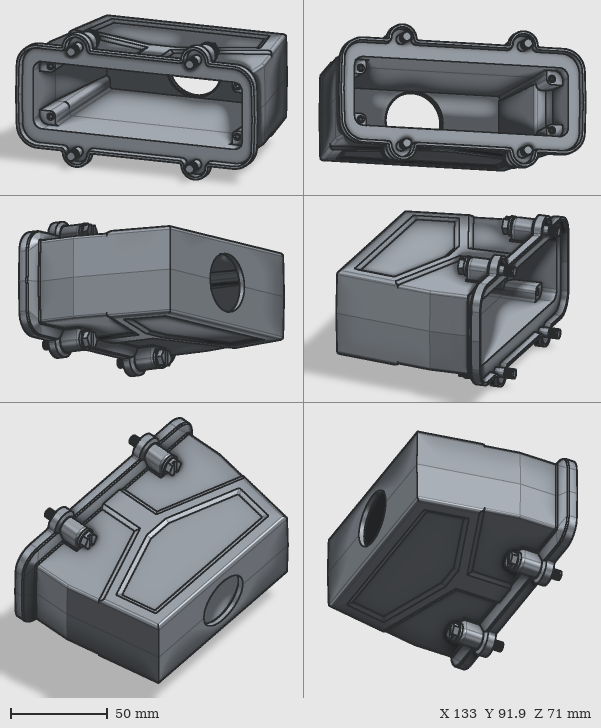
import cadquery as cq
import math


FLANGE_HALF_X = 66.5
FLANGE_HALF_Z = 27.5
FLANGE_CORNER_RADIUS = 11.7
FLANGE_THICKNESS = 4.6
FLANGE_CROWN = 0.4
COLLAR_EDGE_HEIGHT = 0.9
COLLAR_EDGE_WIDTH = 0.5
COLLAR_TOP = 9.2
EAR_RADIUS = 7.5
EAR_NECK_RADIUS = 1.0
EAR_CHAMFER_HEIGHT = 1.5
EAR_CHAMFER_WIDTH = 2.0
GASKET_DEPTH = 3.6
GASKET_RIM = 1.4
GASKET_DRAFT = 10.0

BODY_TOP = 85.0
BODY_HALF_X = 60.2
BODY_HALF_Z = 23.0
BODY_BASE = 4.0
BEND_HEIGHT = 30.0
SIDE_SLOPE = 10.0
PARTING_DRAFT = 1.0
BODY_FILLET = 2.0
CORE_FILLET = 1.4

PANEL_DEPTH = 1.3
PANEL_BEVEL = 2.5
PANEL_ANGLE = 20.0
STEM_HALF_WIDTH = 6.3
STEM_SHOULDER = 33.2
RECESS_TOP = 77.3
RECESS_TOP_HALF = 44.0
RECESS_POINT = 38.7
RECESS_POINT_HALF = 7.4
RECESS_CORNER_RADIUS = 2.0

MOUTH_HALF_X = 58.3
MOUTH_HALF_Z = 18.1
MOUTH_RADIUS = 5.0
CAVITY_BEND = 31.3
CAVITY_BEND_HALF_X = 57.2
CAVITY_BEND_HALF_Z = 17.5
CAVITY_FLOOR = 81.5
CAVITY_FLOOR_HALF_X = 48.6
CAVITY_FLOOR_HALF_Z = 15.7
CAVITY_FLOOR_RADIUS = 1.0
CABLE_HOLE_DIAMETER = 30.4
CABLE_HOLE_CHAMFER = 0.5

POST_START = 11.8
POST_X = 49.2
POST_Z = 10.4
POST_FLOOR_X = 46.5
POST_FLOOR_Z = 8.6
POST_FILLET = 3.0
POST_ROOT_FILLET = 1.5
POST_HOLE_X = 52.0
POST_HOLE_Z = 13.5
POST_HOLE_DIAMETER = 2.2
POST_HOLE_MOUTH = 3.6
POST_HOLE_DEPTH = 15.0

LEDGE_START = 29.5
LEDGE_X = 48.2
LEDGE_FILLET = 1.7
LEDGE_FLOOR_X = 46.0
LEDGE_SLOPE_X = 54.5
LEDGE_SLOPE_END_X = 57.4
LEDGE_SLOPE_START = 27.0

SCREW_X = 33.0
SCREW_Z = 28.0
BOSS_ROOT_Z = 19.1
BOSS_RADIUS = 5.0
BOSS_TOP = 18.0
BOSS_FILLET = 2.0
FOOT_WIDTH = 11.6
FOOT_Z = 22.4
WASHER_RADIUS = 5.2
WASHER_THICKNESS = 1.4
HEAD_WIDTH = 8.0
HEAD_HEIGHT = 3.4
SLOT_WIDTH = 1.7
SLOT_DEPTH = 1.4
SHANK_RADIUS = 2.5
SHANK_TIP = -6.9
THREAD_PITCH = 1.1
THREAD_DEPTH = 0.3
THREAD_GROOVES = 4

SCREW_PLACES = [(sx * SCREW_X, sz * SCREW_Z) for sx in (1, -1) for sz in (1, -1)]


def plane_at(y):
    """Work plane facing +Y whose local axes are X and -Z."""
    return cq.Workplane(cq.Plane(origin=(0, y, 0), xDir=(1, 0, 0), normal=(0, 1, 0)))


def crowned_outline(y, half_x, half_z, radius, crown=0.0):
    """Rounded rectangle whose X sides rise to a shallow ridge at Z = 0."""
    side = half_x - crown
    end_z = half_z - radius
    end_x = side - radius
    bulge = radius * math.sqrt(0.5)
    arc_x = end_x + bulge
    arc_z = end_z + bulge
    return (
        plane_at(y)
        .moveTo(half_x, 0)
        .lineTo(side, end_z)
        .threePointArc((arc_x, arc_z), (end_x, half_z))
        .lineTo(-end_x, half_z)
        .threePointArc((-arc_x, arc_z), (-side, end_z))
        .lineTo(-half_x, 0)
        .lineTo(-side, -end_z)
        .threePointArc((-arc_x, -arc_z), (-end_x, -half_z))
        .lineTo(end_x, -half_z)
        .threePointArc((arc_x, -arc_z), (side, -end_z))
        .close()
    )


def loft(*outlines):
    """Straight-sided solid through the given closed outlines."""
    wires = [outline.wires().val() for outline in outlines]
    return cq.Workplane(cq.Solid.makeLoft(wires, True))


def cylinder(x, z, y, length, radius):
    return plane_at(y).center(x, -z).circle(radius).extrude(length)


def cone(x, z, y, length, radius, end_radius):
    direction = cq.Vector(0, 1, 0)
    return cq.Workplane(cq.Solid.makeCone(radius, end_radius, length, cq.Vector(x, y, z), direction))


def box_around(x, y, z, reach, reach_y):
    """Selector for what is centred within the given reach of a point."""
    return cq.selectors.BoxSelector(
        (x - reach, y - reach_y, z - reach),
        (x + reach, y + reach_y, z + reach),
    )


def both_faces(cutter):
    return cutter.union(cutter.mirror("XY"))


def make_flange_plate():
    """Plate with four screw ears, before the gasket recess."""
    plate = crowned_outline(0, FLANGE_HALF_X, FLANGE_HALF_Z, FLANGE_CORNER_RADIUS, FLANGE_CROWN)
    plate = plate.extrude(FLANGE_THICKNESS)
    for x, z in SCREW_PLACES:
        plate = plate.union(cylinder(x, z, 0, FLANGE_THICKNESS, EAR_RADIUS))
    for x, z in SCREW_PLACES:
        flange_edge_z = math.copysign(FLANGE_HALF_Z, z)
        for neck_x in (x - EAR_RADIUS, x + EAR_RADIUS):
            neck = box_around(neck_x, FLANGE_THICKNESS / 2, flange_edge_z, EAR_NECK_RADIUS, FLANGE_THICKNESS)
            plate = plate.edges("|Y").edges(neck).fillet(EAR_NECK_RADIUS)
    return plate


def make_flange():
    plate = make_flange_plate()
    core_half_z = BODY_HALF_Z - PANEL_DEPTH
    collar = loft(
        crowned_outline(FLANGE_THICKNESS, FLANGE_HALF_X, FLANGE_HALF_Z, FLANGE_CORNER_RADIUS, FLANGE_CROWN),
        crowned_outline(
            FLANGE_THICKNESS + COLLAR_EDGE_HEIGHT,
            FLANGE_HALF_X - COLLAR_EDGE_WIDTH,
            FLANGE_HALF_Z - COLLAR_EDGE_WIDTH,
            FLANGE_CORNER_RADIUS - COLLAR_EDGE_WIDTH,
            FLANGE_CROWN,
        ),
        crowned_outline(
            COLLAR_TOP - COLLAR_EDGE_HEIGHT,
            BODY_HALF_X + COLLAR_EDGE_WIDTH,
            core_half_z + COLLAR_EDGE_WIDTH,
            CORE_FILLET + COLLAR_EDGE_WIDTH,
            FLANGE_CROWN,
        ),
        crowned_outline(COLLAR_TOP, BODY_HALF_X, core_half_z, CORE_FILLET, FLANGE_CROWN),
    )
    flange = plate.union(collar)
    for x, z in SCREW_PLACES:
        shoulder_radius = EAR_RADIUS - EAR_CHAMFER_WIDTH
        flange = flange.union(cone(x, z, FLANGE_THICKNESS, EAR_CHAMFER_HEIGHT, EAR_RADIUS, shoulder_radius))
    return flange


def make_gasket_recess():
    """Drafted pocket following the flange outline, ears included."""
    rim = make_flange_plate().faces("<Y").wires().val().offset2D(-GASKET_RIM)
    return cq.Workplane("XZ").add(rim).toPending().extrude(-GASKET_DEPTH, taper=GASKET_DRAFT)


def side_at(y, half_x):
    """Half width at height y of a side wall that is half_x wide at the bend."""
    return half_x - (y - BEND_HEIGHT) * math.tan(math.radians(SIDE_SLOPE))


def body_block(half_z):
    """Body silhouette drafted away from the parting plane Z = 0."""
    top_half = side_at(BODY_TOP, BODY_HALF_X)
    corners = [
        (BODY_HALF_X, BODY_BASE),
        (BODY_HALF_X, BEND_HEIGHT),
        (top_half, BODY_TOP),
        (-top_half, BODY_TOP),
        (-BODY_HALF_X, BEND_HEIGHT),
        (-BODY_HALF_X, BODY_BASE),
    ]
    half = cq.Workplane("XY").polyline(corners).close().extrude(half_z, taper=PARTING_DRAFT)
    return half.union(half.mirror("XY"))


def round_block(block, radius):
    """Round the broad-face outlines, leaving the buried base edge sharp."""
    rims = block.faces(">Z or <Z").edges()
    above_base = cq.selectors.BoxSelector(
        (-BODY_TOP, BODY_BASE + radius, -BODY_TOP),
        (BODY_TOP, BODY_TOP, BODY_TOP),
    )
    return rims.edges(above_base).fillet(radius)


def arm_panel(z, widening):
    """Lower relief panel beside the stem; widening moves its inner edges outward."""
    slope = math.tan(math.radians(PANEL_ANGLE))
    inner_x = STEM_HALF_WIDTH + PANEL_BEVEL - widening
    lift = (widening - PANEL_BEVEL) / math.cos(math.radians(PANEL_ANGLE))
    outer_x = BODY_HALF_X + PANEL_BEVEL

    def arm_edge(x):
        return STEM_SHOULDER + (x - STEM_HALF_WIDTH) * slope + lift

    return (
        cq.Workplane("XY", origin=(0, 0, z))
        .moveTo(inner_x, 0)
        .lineTo(inner_x, arm_edge(inner_x))
        .lineTo(outer_x, arm_edge(outer_x))
        .lineTo(outer_x, 0)
        .close()
    )


def label_recess(z, inset):
    """Six-sided outline of the upper recess, inset from its rim."""
    side_slope = math.tan(math.radians(SIDE_SLOPE))
    point_slope = math.tan(math.radians(PANEL_ANGLE))
    top = RECESS_TOP - inset
    point = RECESS_POINT + inset
    point_half = RECESS_POINT_HALF - inset * math.tan(math.radians(PANEL_ANGLE / 2))
    side_base = RECESS_TOP_HALF + RECESS_TOP * side_slope - inset / math.cos(math.radians(SIDE_SLOPE))
    top_half = side_base - top * side_slope
    corner_y = (point + (side_base - point_half) * point_slope) / (1 + side_slope * point_slope)
    corner_half = side_base - corner_y * side_slope
    corners = [
        (top_half, top),
        (corner_half, corner_y),
        (point_half, point),
        (-point_half, point),
        (-corner_half, corner_y),
        (-top_half, top),
    ]
    return cq.Workplane("XY", origin=(0, 0, z)).polyline(corners).close()


def make_body():
    floor_z = BODY_HALF_Z - PANEL_DEPTH
    clear_z = BODY_HALF_Z + PANEL_DEPTH
    panel = loft(arm_panel(floor_z, 0), arm_panel(clear_z, 2 * PANEL_BEVEL))
    panel = panel.union(arm_panel(floor_z, 0).extrude(-CORE_FILLET))
    panels = both_faces(panel.union(panel.mirror("YZ")))
    raised = round_block(body_block(BODY_HALF_Z), BODY_FILLET).cut(panels)
    core = round_block(body_block(floor_z), CORE_FILLET)
    recess = loft(label_recess(floor_z, PANEL_BEVEL), label_recess(clear_z, -PANEL_BEVEL))
    upper_corners = cq.selectors.BoxSelector(
        (-BODY_HALF_X, RECESS_POINT + 3 * PANEL_BEVEL, 0),
        (BODY_HALF_X, BODY_TOP, clear_z),
    )
    recess = recess.edges("not #Z").edges(upper_corners).fillet(RECESS_CORNER_RADIUS)
    return raised.union(core).cut(both_faces(recess))


def make_posts():
    """Four corner posts flaring past the bend, oversize toward the cavity walls."""

    def section(y, inner_x, inner_z):
        outline = [
            (inner_x, -inner_z),
            (BODY_HALF_X, -inner_z),
            (BODY_HALF_X, -BODY_HALF_Z),
            (inner_x, -BODY_HALF_Z),
        ]
        return plane_at(y).polyline(outline).close()

    straight = loft(section(POST_START, POST_X, POST_Z), section(CAVITY_BEND, POST_X, POST_Z))
    flared = loft(section(CAVITY_BEND, POST_X, POST_Z), section(BODY_TOP, POST_FLOOR_X, POST_FLOOR_Z))
    inner_corner = cq.selectors.BoxSelector((0, 0, 0), (POST_X + POST_FILLET, BODY_TOP, POST_Z + POST_FILLET))
    straight = straight.edges("not #Y").edges(inner_corner).fillet(POST_FILLET)
    flared = flared.edges("not #Y").edges(inner_corner).fillet(POST_FILLET)
    post = straight.union(flared)
    pair = post.union(post.mirror("XY"))
    return pair.union(pair.mirror("YZ"))


def make_ledge():
    """Stepped thickening of the +X wall between its two posts."""
    profile = [
        (LEDGE_SLOPE_END_X, LEDGE_SLOPE_START),
        (LEDGE_SLOPE_X, LEDGE_START),
        (LEDGE_X, LEDGE_START),
        (LEDGE_FLOOR_X, BODY_TOP),
        (BODY_HALF_X, BODY_TOP),
        (BODY_HALF_X, LEDGE_SLOPE_START),
    ]
    ledge = cq.Workplane("XY").polyline(profile).close().extrude(POST_Z + POST_FILLET, both=True)
    rim = cq.selectors.NearestToPointSelector((LEDGE_X, LEDGE_START, 0))
    return ledge.edges(rim).fillet(LEDGE_FILLET)


def make_cavity():
    mouth = loft(
        crowned_outline(0, MOUTH_HALF_X, MOUTH_HALF_Z, MOUTH_RADIUS),
        crowned_outline(CAVITY_BEND, CAVITY_BEND_HALF_X, CAVITY_BEND_HALF_Z, MOUTH_RADIUS),
    )
    deep = loft(
        crowned_outline(CAVITY_BEND, CAVITY_BEND_HALF_X, CAVITY_BEND_HALF_Z, MOUTH_RADIUS),
        crowned_outline(CAVITY_FLOOR, CAVITY_FLOOR_HALF_X, CAVITY_FLOOR_HALF_Z, CAVITY_FLOOR_RADIUS),
    )
    cavity = mouth.union(deep).cut(make_posts())
    root_y = (POST_START + CAVITY_BEND) / 2
    for x in (POST_X, -POST_X):
        for z in (CAVITY_BEND_HALF_Z, -CAVITY_BEND_HALF_Z):
            root = box_around(x, root_y, z, POST_ROOT_FILLET, POST_ROOT_FILLET)
            cavity = cavity.edges("not #Y").edges(root).fillet(POST_ROOT_FILLET)
    return cavity.cut(make_ledge())


def make_post_holes():
    holes = cq.Workplane()
    mouth_depth = (POST_HOLE_MOUTH - POST_HOLE_DIAMETER) / 2
    for sx in (1, -1):
        for sz in (1, -1):
            x = sx * POST_HOLE_X
            z = sz * POST_HOLE_Z
            holes.add(cylinder(x, z, POST_START, POST_HOLE_DEPTH, POST_HOLE_DIAMETER / 2))
            holes.add(cone(x, z, POST_START, mouth_depth, POST_HOLE_MOUTH / 2, POST_HOLE_DIAMETER / 2))
    return holes.combine()


def make_cable_hole():
    radius = CABLE_HOLE_DIAMETER / 2
    hole = cylinder(0, 0, CAVITY_FLOOR, BODY_TOP, radius)
    return hole.union(cone(0, 0, CAVITY_FLOOR, CABLE_HOLE_CHAMFER, radius + CABLE_HOLE_CHAMFER, radius))


def make_boss(x, z):
    """Rounded screw boss joined to the body by a web with a wider foot."""
    side = math.copysign(1, z)
    length = BOSS_TOP - GASKET_DEPTH
    middle = GASKET_DEPTH + length / 2
    web_depth = SCREW_Z - BOSS_ROOT_Z
    web = cq.Workplane("XY").box(2 * BOSS_RADIUS, length, web_depth)
    web = web.translate((x, middle, side * (BOSS_ROOT_Z + web_depth / 2)))
    boss = cylinder(x, z, GASKET_DEPTH, length, BOSS_RADIUS).union(web)
    boss = boss.faces(">Y").edges("%CIRCLE").fillet(BOSS_FILLET)
    foot_depth = FOOT_Z - BOSS_ROOT_Z
    foot = cq.Workplane("XY").box(FOOT_WIDTH, length, foot_depth)
    return boss.union(foot.translate((x, middle, side * (BOSS_ROOT_Z + foot_depth / 2))))


def make_screw(x, z):
    """Slotted hexagon-head screw with washer; thread shown as ring grooves."""
    washer = cylinder(x, z, BOSS_TOP, WASHER_THICKNESS, WASHER_RADIUS)
    head_base = BOSS_TOP + WASHER_THICKNESS
    across_corners = HEAD_WIDTH / math.cos(math.radians(30))
    head = plane_at(head_base).center(x, -z).polygon(6, across_corners).extrude(HEAD_HEIGHT)
    slot = cq.Workplane("XY").box(SLOT_WIDTH, 2 * SLOT_DEPTH, 2 * HEAD_WIDTH)
    head = head.cut(slot.translate((x, head_base + HEAD_HEIGHT, z)))
    shank = cylinder(x, z, SHANK_TIP, BOSS_TOP - SHANK_TIP, SHANK_RADIUS)
    for groove in range(THREAD_GROOVES):
        y = SHANK_TIP + THREAD_PITCH * (groove + 1)
        ring = cylinder(x, z, y, THREAD_PITCH / 2, 2 * SHANK_RADIUS)
        shank = shank.cut(ring.cut(cylinder(x, z, y, THREAD_PITCH / 2, SHANK_RADIUS - THREAD_DEPTH)))
    return shank.union(washer).union(head)


result = make_flange().union(make_body())
for place in SCREW_PLACES:
    result = result.union(make_boss(*place))
result = result.cut(make_gasket_recess()).cut(make_cavity())
result = result.cut(make_post_holes()).cut(make_cable_hole())
for place in SCREW_PLACES:
    result = result.union(make_screw(*place))